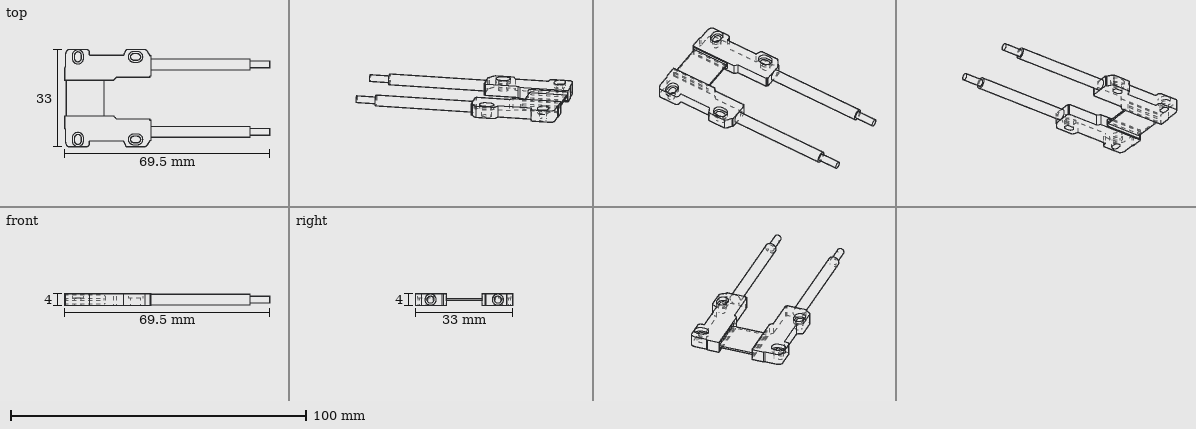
import cadquery as cq


total_length = 69.5
total_width = 33.0
thickness = 4.0

housing_length = 29.3
outer_y = total_width / 2
inner_y = 6.0
waist_y = 14.5
rear_inner_y = 7.0
inner_step_start_x = 16.55
inner_step_end_x = inner_step_start_x + rear_inner_y - inner_y
nose_length = 0.4
nose_inner_y = 7.45
nose_outer_y = 14.4
front_bevel_start_y = 10.15
front_bevel_end_y = 10.65
front_setback = 0.3
front_ear_corner_x = 1.25
front_ear_end_x = 8.4
rear_ear_foot_x = 19.95
rear_ear_start_x = 20.85
rear_arc_start_x = 27.25
rear_arc_end_x = 28.3
rear_arc_end_y = 15.4
rear_arc_bulge = 0.15
rear_slant_end_y = 14.5
front_corner_radius = 0.75
front_ear_radius = 1.05
front_ear_root_radius = 0.2
rear_ear_radius = 0.55

slot_y = 14.0
front_slot_x = 4.5
rear_slot_x = 24.05
slot_length = 3.35
slot_width = 2.15
counterbore_length = 4.9
counterbore_width = 3.7
counterbore_depth = 1.4
along_cable = 0
across_cable = 90

strip_start_x = 0.55
strip_end_x = 13.4
strip_thickness = 0.7
recess_front_margin = 0.3
recess_rear_margin = 0.5
recess_depth = 0.15
recess_height = 3.05
recess_corner_radius = 0.8
strip_embed = 0.7

cable_y = 11.4
cable_diameter = 3.75
cable_end_x = 62.85
core_diameter = 2.35


def vertical_slot(x, length, width, angle, bottom_z, height):
    return (
        cq.Workplane("XY", origin=(x, slot_y, bottom_z))
        .slot2D(length, width, angle)
        .extrude(height)
    )


def counterbored_slot(x, angle):
    through = vertical_slot(x, slot_length, slot_width, angle, -thickness / 2, thickness)
    floor_z = thickness / 2 - counterbore_depth
    bore = vertical_slot(x, counterbore_length, counterbore_width, angle, floor_z, counterbore_depth)
    return through.union(bore)


def housing_block():
    shoulder_x = housing_length - nose_length
    front_corner = (front_ear_corner_x, outer_y)
    front_ear_corner = (front_ear_end_x, outer_y)
    front_ear_root = (front_ear_end_x, waist_y)
    rear_ear_corner = (rear_ear_start_x, outer_y)
    block = (
        cq.Workplane("XY", origin=(0, 0, -thickness / 2))
        .moveTo(0, inner_y)
        .lineTo(0, front_bevel_start_y)
        .lineTo(front_setback, front_bevel_end_y)
        .lineTo(front_setback, waist_y)
        .tangentArcPoint(front_corner, relative=False)
        .lineTo(*front_ear_corner)
        .lineTo(*front_ear_root)
        .lineTo(rear_ear_foot_x, waist_y)
        .lineTo(*rear_ear_corner)
        .lineTo(rear_arc_start_x, outer_y)
        .sagittaArc((rear_arc_end_x, rear_arc_end_y), rear_arc_bulge)
        .lineTo(shoulder_x, rear_slant_end_y)
        .lineTo(shoulder_x, nose_outer_y)
        .lineTo(housing_length, nose_outer_y)
        .lineTo(housing_length, nose_inner_y)
        .lineTo(shoulder_x, nose_inner_y)
        .lineTo(shoulder_x, rear_inner_y)
        .lineTo(inner_step_end_x, rear_inner_y)
        .lineTo(inner_step_start_x, inner_y)
        .close()
        .extrude(thickness)
    )
    rounded_corners = [
        (front_corner, front_corner_radius),
        (front_ear_corner, front_ear_radius),
        (front_ear_root, front_ear_root_radius),
        (rear_ear_corner, rear_ear_radius),
    ]
    for (x, y), radius in rounded_corners:
        block = block.edges(cq.NearestToPointSelector((x, y, 0))).fillet(radius)
    return block


def strip_recess():
    start_x = strip_start_x - recess_front_margin
    end_x = strip_end_x + recess_rear_margin
    return (
        cq.Workplane("XY", origin=((start_x + end_x) / 2, inner_y, 0))
        .box(end_x - start_x, recess_depth, recess_height, centered=(True, False, True))
        .edges("|Y and >X")
        .fillet(recess_corner_radius)
    )


def round_bar(start_x, end_x, diameter):
    return (
        cq.Workplane("YZ", origin=(start_x, cable_y, 0))
        .circle(diameter / 2)
        .extrude(end_x - start_x)
    )


def sensor_half():
    half = housing_block()
    half = half.cut(counterbored_slot(front_slot_x, across_cable))
    half = half.cut(counterbored_slot(rear_slot_x, along_cable))
    half = half.cut(strip_recess())
    half = half.union(round_bar(housing_length, cable_end_x, cable_diameter))
    return half.union(round_bar(cable_end_x, total_length, core_diameter))


def joining_strip():
    half_span = inner_y + recess_depth + strip_embed
    return (
        cq.Workplane("XY", origin=(strip_start_x, 0, 0))
        .box(strip_end_x - strip_start_x, 2 * half_span, strip_thickness, centered=(False, True, True))
    )


upper_half = sensor_half()
result = upper_half.union(upper_half.mirror("XZ")).union(joining_strip())